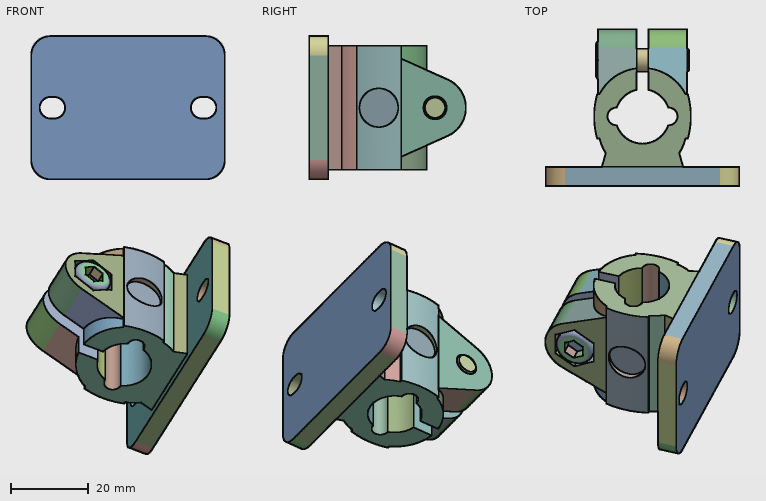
import cadquery as cq
import math

plate_width = 50.0
plate_thickness = 5.0
plate_height = 37.0
plate_corner_radius = 5.0
mount_slot_length = 6.5
mount_slot_height = 5.5
mount_slot_spacing = 39.0

ring_height = 32.0
ring_radius = 12.5
ring_y = 18.0
bore_radius = 7.0
key_span = 18.0
key_width = 4.5
split_width = 3.0

band_half_length = 5.75
band_edge_x = 11.7
spot_diameter = 10.0
spot_floor_x = 11.0

foot_half_width = 10.5
waist_half_width = 9.5
waist_y = 8.5
shoulder_x = 11.1
shoulder_radius = 12.5

ear_half_span = 11.5
ear_tip_radius = 8.0
screw_y = 32.5
shank_diameter = 6.0
tip_chamfer = 0.4
head_diameter = 10.0
head_round = 1.0
socket_width = 5.0
socket_depth = 2.85
pocket_width = 10.5
pocket_depth = 3.0
screw_overhang = 0.5

band_front_y = ring_y - band_half_length
band_back_y = ring_y + band_half_length


def x_rod(diameter, start_x, end_x, y):
    """Round rod along X at mid height."""
    profile = cq.Workplane("YZ", origin=(start_x, y, 0)).circle(diameter / 2)
    return profile.extrude(end_x - start_x)


def x_hexagon(flat_width, start_x, length):
    """Hexagonal prism along X on the screw axis, with corners pointing up and down."""
    plane = cq.Workplane("YZ", origin=(start_x, screw_y, 0))
    corner_diameter = flat_width / math.cos(math.pi / 6)
    return plane.transformed(rotate=(0, 0, 90)).polygon(6, corner_diameter).extrude(length)


def z_prism(sketch):
    return sketch.extrude(ring_height / 2, both=True)


def make_plate():
    plate = cq.Workplane("XY").box(plate_width, plate_thickness, plate_height)
    plate = plate.translate((0, plate_thickness / 2, 0))
    plate = plate.edges("|Y").fillet(plate_corner_radius)
    slots = (
        cq.Workplane("XZ")
        .pushPoints([(-mount_slot_spacing / 2, 0), (mount_slot_spacing / 2, 0)])
        .slot2D(mount_slot_length, mount_slot_height)
        .extrude(-plate_thickness)
    )
    return plate.cut(slots)


def make_ring_body():
    ring = z_prism(cq.Workplane("XY").center(0, ring_y).circle(ring_radius))
    bands = z_prism(
        cq.Workplane("XY")
        .moveTo(-band_edge_x, band_front_y)
        .lineTo(band_edge_x, band_front_y)
        .threePointArc((ring_radius, ring_y), (band_edge_x, band_back_y))
        .lineTo(-band_edge_x, band_back_y)
        .threePointArc((-ring_radius, ring_y), (-band_edge_x, band_front_y))
        .close()
    )
    foot = z_prism(
        cq.Workplane("XY")
        .moveTo(-foot_half_width, plate_thickness)
        .lineTo(foot_half_width, plate_thickness)
        .lineTo(waist_half_width, waist_y)
        .radiusArc((shoulder_x, band_front_y), -shoulder_radius)
        .lineTo(-shoulder_x, band_front_y)
        .radiusArc((-waist_half_width, waist_y), -shoulder_radius)
        .close()
    )
    return ring.union(bands).union(foot)


def make_ears():
    """Tapered lug, tangent to its rounded tip, reaching back to the side bands."""
    taper = math.radians(24)
    tangent_y = screw_y + ear_tip_radius * math.sin(taper)
    tangent_z = ear_tip_radius * math.cos(taper)
    base_z = tangent_z + (tangent_y - band_back_y) * math.tan(taper)
    return (
        cq.Workplane("YZ")
        .moveTo(band_back_y, -base_z)
        .lineTo(tangent_y, -tangent_z)
        .threePointArc((screw_y + ear_tip_radius, 0), (tangent_y, tangent_z))
        .lineTo(band_back_y, base_z)
        .close()
        .extrude(ear_half_span, both=True)
    )


def make_bore():
    bore = z_prism(cq.Workplane("XY").center(0, ring_y).circle(bore_radius))
    keys = z_prism(cq.Workplane("XY").center(0, ring_y).slot2D(key_span, key_width))
    split_length = screw_y + ear_tip_radius - ring_y
    split = cq.Workplane("XY").box(split_width, split_length, ring_height)
    split = split.translate((0, ring_y + split_length / 2, 0))
    return bore.union(keys).union(split)


def make_screw():
    head_start = -ear_half_span - screw_overhang
    head_end = -ear_half_span + pocket_depth
    tip_x = ear_half_span + screw_overhang
    head = x_rod(head_diameter, head_start, head_end, screw_y).faces("<X").edges().fillet(head_round)
    shank = x_rod(shank_diameter, head_end, tip_x, screw_y).faces(">X").chamfer(tip_chamfer)
    return head.union(shank).cut(x_hexagon(socket_width, head_start, socket_depth))


clamp = make_ring_body().union(make_ears()).cut(make_bore())
for side in (-1, 1):
    spot = x_rod(spot_diameter, side * spot_floor_x, side * (ring_radius + 0.5), ring_y)
    clamp = clamp.cut(spot)
clamp = clamp.cut(x_hexagon(pocket_width, -ear_half_span, pocket_depth))

result = make_plate().union(clamp).union(make_screw())